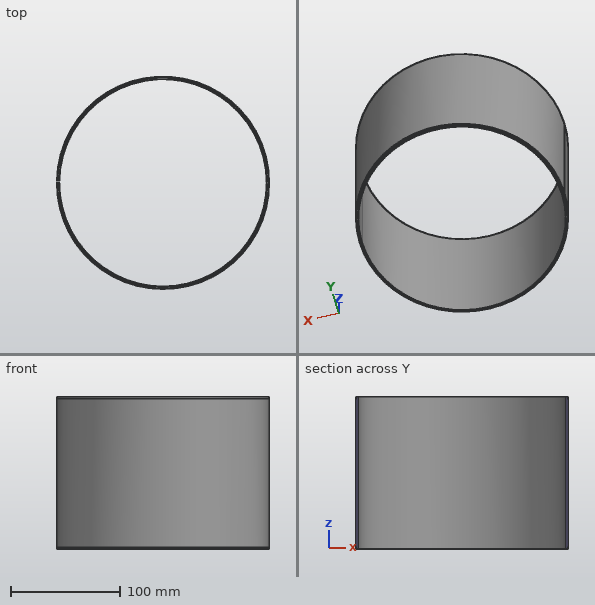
import cadquery as cq

outer_diameter = 195.0
wall_thickness = 2.5
height = 140.0
outer_bevel_width = 0.65
outer_bevel_height = 1.8
inner_chamfer = 0.35
slit_width = 1.5
slit_edge_y = 0.2

outer_radius = outer_diameter / 2
inner_radius = outer_radius - wall_thickness
half_height = height / 2


def make_sleeve():
    """Thin tube, centred on the origin, with bevelled outer and inner rims."""
    rim_outer_radius = outer_radius - outer_bevel_width
    rim_inner_radius = inner_radius + inner_chamfer
    outer_wall_end = half_height - outer_bevel_height
    inner_wall_end = half_height - inner_chamfer
    wall_section = [
        (inner_radius, -inner_wall_end),
        (rim_inner_radius, -half_height),
        (rim_outer_radius, -half_height),
        (outer_radius, -outer_wall_end),
        (outer_radius, outer_wall_end),
        (rim_outer_radius, half_height),
        (rim_inner_radius, half_height),
        (inner_radius, inner_wall_end),
    ]
    profile = cq.Workplane("XZ").polyline(wall_section).close()
    return profile.revolve(360, (0, 0, 0), (0, 1, 0))


def make_slit():
    """Full-height cutter that splits the wall on the -X side."""
    cutter = cq.Workplane("XY").box(outer_radius, slit_width, height, centered=(False, False, True))
    return cutter.translate((-outer_radius, slit_edge_y, 0))


result = make_sleeve().cut(make_slit())